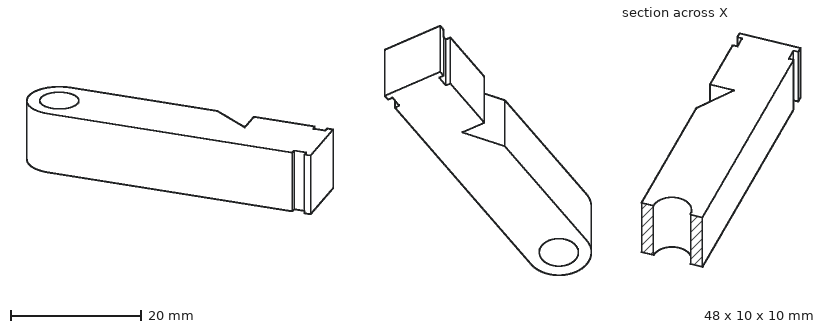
import cadquery as cq

length = 48.0
width = 10.0
height = 10.0
pivot_diameter = 6.0

notch_start = 24.0
notch_length = 6.0
notch_depth = 4.0

groove_width = 2.0
groove_depth = 0.8
end_flange = 1.0

half_width = width / 2
end_x = length - half_width
notch_wall_x = notch_start + notch_length
groove_center_x = end_x - end_flange - groove_width / 2


def lever_body():
    """Bar with one full-round end centred on the pivot axis and one square end."""
    return (
        cq.Workplane("XY")
        .moveTo(0, -half_width)
        .lineTo(end_x, -half_width)
        .lineTo(end_x, half_width)
        .lineTo(0, half_width)
        .threePointArc((-half_width, 0), (0, -half_width))
        .close()
        .extrude(height)
    )


def pivot_hole():
    """Cylinder that removes the through hole at the round end."""
    return cq.Workplane("XY").circle(pivot_diameter / 2).extrude(height)


def ramp_notch():
    """Triangular notch in the +Y side: a ramp that ends at a square wall."""
    return (
        cq.Workplane("XY")
        .moveTo(notch_start, half_width)
        .lineTo(notch_wall_x, half_width)
        .lineTo(notch_wall_x, half_width - notch_depth)
        .close()
        .extrude(height)
    )


def end_groove(side):
    """Full-height groove near the square end; side is +1 for +Y and -1 for -Y."""
    return (
        cq.Workplane("XY")
        .center(groove_center_x, side * (half_width - groove_depth / 2))
        .rect(groove_width, groove_depth)
        .extrude(height)
    )


result = lever_body().cut(pivot_hole()).cut(ramp_notch())
for side in (1, -1):
    result = result.cut(end_groove(side))